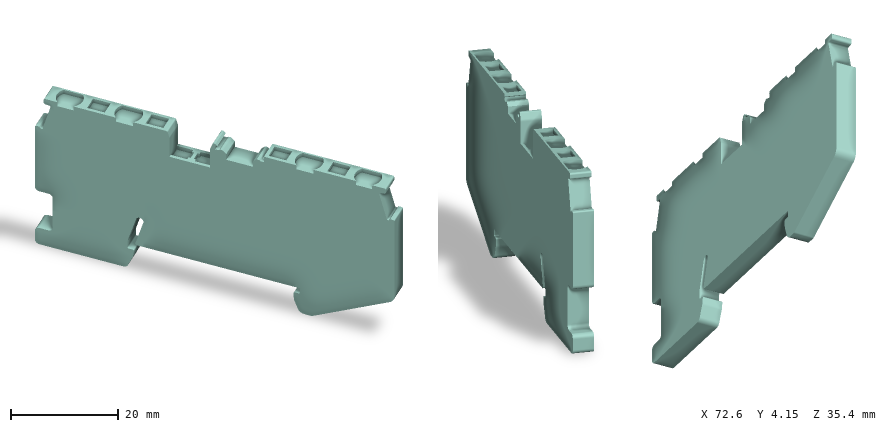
import cadquery as cq
import math

length = 72.6
thickness = 4.15
height = 35.4
half_length = length / 2

lip_inset = 1.75
lip_bottom = 34.2
neck_top_inset = 3.2
neck_top = 34.05
neck_foot_inset = 1.5
neck_foot = 28.0
groove_end_inset = 1.15
shoulder_inset = 0.9
shoulder = 28.4
shoulder_radius = 0.3
neck_radius = 0.3
lip_radius = 0.35

notch_bottom = 3.9
notch_top = 12.8
notch_depth = 3.55
notch_radius = 0.8
end_corner_radius = 0.9

rail_face = 5.95
hook_ledge = 4.65
rail_right = 17.2
ledge_radius = 0.3
rail_root_radius = 0.2
foot_bend_radius = 1.45

foot_wall = -17.65
foot_tip = -16.25
foot_bend_x = -16.5
foot_bend_z = 3.05
foot_toe = -17.8
foot_toe_radius = 1.1

right_tip = 15.9
right_bend_x = 16.0
right_bend_z = 2.9
right_toe = 17.1
right_toe_radius = 1.45
slope_start = 19.6
slope_start_radius = 0.7
slope_end = 8.85
slope_end_radius = 1.8

slot_lean = math.radians(16.4)
slot_width = 1.5
slot_end_radius = 0.49 * slot_width
slot_top_x = -15.2
slot_top_z = 12.0
slot_exit = 6.3
slot_corner_radius = 0.3

bridge_left = -9.15
bridge_right = -0.95
bridge_floor = 29.4
bridge_lead_in = 34.0
bridge_lip = -9.6
bridge_lip_radius = 0.35
lead_in_radius = 1.1

latch_top_left = -0.35
latch_top_left_radius = 0.2
latch_top_right = 0.15
latch_tip_x = 0.5
latch_back = 0.1
latch_notch_end = 0.9
latch_notch_floor = 34.1
latch_tip = 35.0

marker_left = 2.3
marker_right = 7.8
marker_floor = 32.3
marker_edge = 33.7
marker_rim = 34.35
rim_start = 1.1
rim_end = 1.6
right_rim_start = 8.5
right_rim_end = 9.0
right_notch_start = 9.2
right_block = 9.95
catch_tip = 9.7
catch_bottom = 34.8

socket_depth = 0.95
outer_round_x = 30.1
outer_round_radius = 2.6
inner_round_x = 18.2
inner_round_radius = 2.7
round_flat_y = 1.75
outer_square_x = 24.25
inner_square_x = 12.4
square_length = 3.55
square_width = 2.9

bridge_tab_gap = 0.65
bridge_tab_length = 0.4
bridge_tab_width = 1.75


def shoulder_points(side):
    """Shoulder corners (x, z, radius) from the end wall up to the top, side = -1 left or +1 right."""
    corners = [
        (0, shoulder, shoulder_radius),
        (shoulder_inset, shoulder, 0),
        (groove_end_inset, neck_foot, 0),
        (neck_foot_inset, neck_foot, 0),
        (neck_top_inset, neck_top, neck_radius),
        (lip_inset, lip_bottom, lip_radius),
        (lip_inset, height, lip_radius),
    ]
    return [(side * (half_length - inset), z, radius) for inset, z, radius in corners]


def slot_points():
    """Corners of the leaning spring slot, from the rail face up and around its round top."""
    across_x = slot_width / 2 * math.cos(slot_lean)
    across_z = slot_width / 2 * math.sin(slot_lean)
    left_z = slot_top_z + across_z
    right_z = slot_top_z - across_z
    rise_x = slot_width / 2 * math.sin(slot_lean)
    rise_z = slot_width / 2 * math.cos(slot_lean)
    right_foot_x = slot_top_x + across_x - (right_z - rail_face) * math.tan(slot_lean)
    return [
        (right_foot_x, rail_face, slot_corner_radius),
        (slot_top_x + across_x + rise_x, right_z + rise_z, slot_end_radius),
        (slot_top_x - across_x + rise_x, left_z + rise_z, slot_end_radius),
        (foot_wall, slot_exit, 0),
    ]


def rounded_outline(corners):
    """Closed XZ outline through (x, z, radius) corners, each radius made as a tangent arc."""
    outline = None
    for index, (x, z, radius) in enumerate(corners):
        corner = cq.Vector(x, z)
        before = (cq.Vector(*corners[index - 1][:2]) - corner).normalized()
        after = (cq.Vector(*corners[(index + 1) % len(corners)][:2]) - corner).normalized()
        half_angle = before.getAngle(after) / 2
        setback = radius / math.tan(half_angle)
        start = corner + before * setback
        if outline is None:
            outline = cq.Workplane("XZ").moveTo(start.x, start.y)
        else:
            outline = outline.lineTo(start.x, start.y)
        if radius > 0:
            end = corner + after * setback
            bulge = (before + after).normalized() * (radius / math.sin(half_angle) - radius)
            middle = corner + bulge
            outline = outline.threePointArc((middle.x, middle.y), (end.x, end.y))
    return outline.close()


def housing():
    """Flat body, its outline listed clockwise from the lower left corner."""
    left_end = [
        (-half_length, 0, end_corner_radius),
        (-half_length, notch_bottom, end_corner_radius),
        (-half_length + notch_depth, notch_bottom, notch_radius),
        (-half_length + notch_depth, notch_top, notch_radius),
        (-half_length, notch_top, end_corner_radius),
    ]
    bridge_pocket = [
        (bridge_lip, height, bridge_lip_radius),
        (bridge_left, bridge_lead_in, lead_in_radius),
        (bridge_left, bridge_floor, 0),
        (bridge_right, bridge_floor, 0),
    ]
    latch = [
        (bridge_right, bridge_lead_in, lead_in_radius),
        (latch_top_left, height, latch_top_left_radius),
        (latch_top_right, height, 0),
        (latch_tip_x, latch_tip, 0),
        (latch_back, latch_tip, 0),
        (latch_back, latch_notch_floor, 0),
        (latch_notch_end, latch_notch_floor, 0),
    ]
    marker_recess = [
        (rim_start, marker_rim, 0),
        (rim_end, marker_rim, 0),
        (marker_left, marker_edge, 0),
        (marker_left, marker_floor, 0),
        (marker_right, marker_floor, 0),
        (marker_right, marker_edge, 0),
        (right_rim_start, marker_rim, 0),
        (right_rim_end, marker_rim, 0),
    ]
    right_catch = [
        (right_notch_start, latch_notch_floor, 0),
        (right_block, latch_notch_floor, 0),
        (right_block, catch_bottom, 0),
        (catch_tip, latch_tip, 0),
        (right_block, latch_tip, 0),
        (right_block, height, 0),
    ]
    right_foot = [
        (half_length, slope_end, slope_end_radius),
        (slope_start, 0, slope_start_radius),
        (right_toe, 0, right_toe_radius),
        (right_bend_x, right_bend_z, foot_bend_radius),
        (right_tip, hook_ledge, ledge_radius),
        (rail_right, hook_ledge, rail_root_radius),
        (rail_right, rail_face, 0),
    ]
    left_foot = [
        (foot_wall, hook_ledge, ledge_radius),
        (foot_tip, hook_ledge, ledge_radius),
        (foot_bend_x, foot_bend_z, foot_bend_radius),
        (foot_toe, 0, foot_toe_radius),
    ]
    corners = left_end + shoulder_points(-1) + bridge_pocket + latch
    corners += marker_recess + right_catch + shoulder_points(1)[::-1]
    corners += right_foot + slot_points() + left_foot
    return rounded_outline(corners).extrude(thickness / 2, both=True)


def round_socket(x, radius):
    """Round socket with a flat back, breaking out through the front face."""
    base = cq.Workplane("XY", origin=(x, 0, height - socket_depth))
    disc = base.circle(radius).extrude(socket_depth)
    in_front_of_flat = base.center(0, round_flat_y - radius).rect(2 * radius, 2 * radius)
    return disc.intersect(in_front_of_flat.extrude(socket_depth))


def square_socket(x):
    """Rectangular socket in the middle of the top face."""
    base = cq.Workplane("XY", origin=(x, 0, height - socket_depth))
    return base.rect(square_length, square_width).extrude(socket_depth)


def bridge_socket(wall_x, side):
    """Socket reaching from a pocket wall to the tab near the pocket middle, side = X direction."""
    middle = (bridge_left + bridge_right) / 2
    tab_end = middle - side * bridge_tab_gap / 2
    shoulder_x = tab_end - side * bridge_tab_length
    half_width = square_width / 2
    half_tab = bridge_tab_width / 2
    base = cq.Workplane("XY", origin=(0, 0, bridge_floor - socket_depth))
    outline = base.polyline([
        (wall_x, -half_width),
        (shoulder_x, -half_width),
        (shoulder_x, -half_tab),
        (tab_end, -half_tab),
        (tab_end, half_tab),
        (shoulder_x, half_tab),
        (shoulder_x, half_width),
        (wall_x, half_width),
    ])
    return outline.close().extrude(socket_depth)


result = housing()
for side in (-1, 1):
    result = result.cut(round_socket(side * outer_round_x, outer_round_radius))
    result = result.cut(round_socket(side * inner_round_x, inner_round_radius))
    result = result.cut(square_socket(side * outer_square_x))
    result = result.cut(square_socket(side * inner_square_x))
result = result.cut(bridge_socket(bridge_left, 1))
result = result.cut(bridge_socket(bridge_right, -1))